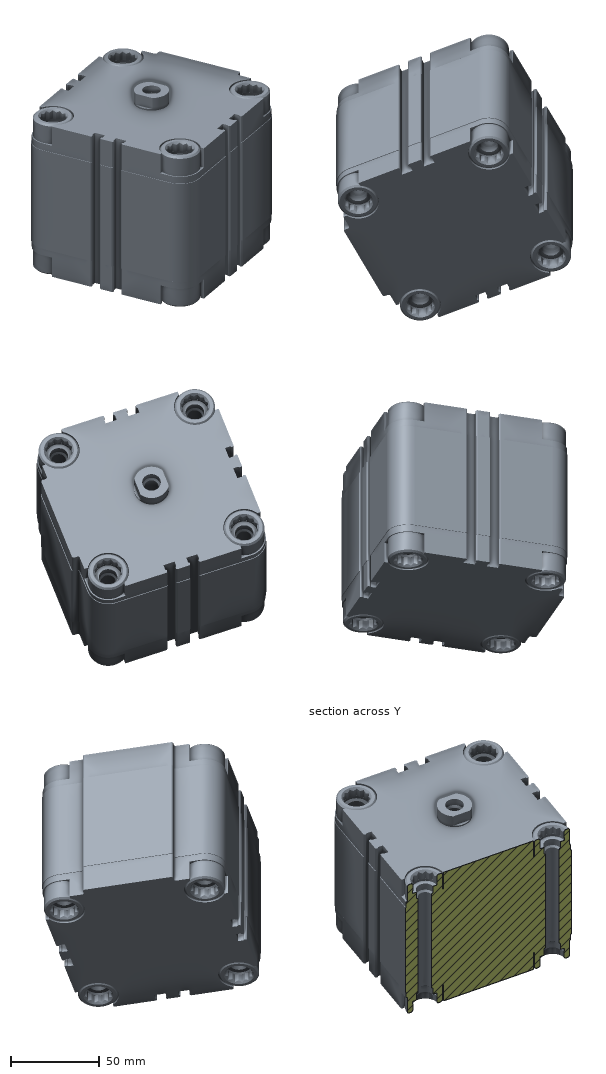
import cadquery as cq
import math

BODY_HEIGHT = 96.0
CAP_HEIGHT = 16.5
BODY_HALF = 53.5
CORNER_RADIUS = 12.4
PAD_HALF_WIDTH = 26.3
PAD_HEIGHT = 4.0
PAD_FILLET = 1.1
CAP_SETBACK = 0.3

SLOT_OFFSET = 6.9
SLOT_DEPTH = 5.4
SLOT_INNER_WIDTH = 6.7
SLOT_MOUTH_WIDTH = 5.3
SLOT_LIP = 1.8
SLOT_MOUTH_CHAMFER = 0.5
SLOT_SHOULDER = (SLOT_INNER_WIDTH - SLOT_MOUTH_WIDTH) / 2

SCREW_SPACING = 82.0
HEAD_DIAMETER = 23.0
HEAD_CHAMFER = 1.0
HEAD_HEIGHT = 12.2
HEAD_POCKET_DIAMETER = 23.5
NOTCH_REACH = 6.0
SOCKET_MOUTH_DIAMETER = 17.1
SOCKET_MOUTH_DEPTH = 1.7
SOCKET_TIP_DIAMETER = 16.0
SOCKET_TIPS = 12
SOCKET_STAR_DEPTH = 6.0
SOCKET_FLOOR_DIAMETER = 15.4
SOCKET_DEPTH = 7.7
SCREW_HOLE_DIAMETER = 8.5

ENTRY_DIAMETER = 10.5
ENTRY_DEPTH = 4.5

ROD_DIAMETER = 20.0
ROD_PROTRUSION = 8.0
ROD_FLATS_WIDTH = 17.0
ROD_FLATS_LENGTH = 7.0
ROD_HOLE_DIAMETER = 8.3
ROD_HOLE_DEPTH = 20.0
DRILL_POINT_HALF_ANGLE = 59.0
ROD_BOTTOM = CAP_HEIGHT
ROD_TOP = BODY_HEIGHT + ROD_PROTRUSION


def profile(height, setback):
    """Square with round corners and a raised pad on +Y, set in all round by the setback."""
    half = BODY_HALF - setback
    square = (
        cq.Workplane("XY")
        .rect(2 * half, 2 * half)
        .extrude(height)
        .edges("|Z")
        .fillet(CORNER_RADIUS - setback)
    )
    pad_top = half + PAD_HEIGHT
    side = PAD_HALF_WIDTH
    foot = side + PAD_FILLET
    crown = side - PAD_FILLET
    bend = PAD_FILLET * math.sqrt(0.5)
    pad = (
        cq.Workplane("XY")
        .moveTo(-foot, 0)
        .lineTo(-foot, half)
        .threePointArc((-foot + bend, half + PAD_FILLET - bend), (-side, half + PAD_FILLET))
        .lineTo(-side, pad_top - PAD_FILLET)
        .threePointArc((-crown - bend, pad_top - PAD_FILLET + bend), (-crown, pad_top))
        .lineTo(crown, pad_top)
        .threePointArc((crown + bend, pad_top - PAD_FILLET + bend), (side, pad_top - PAD_FILLET))
        .lineTo(side, half + PAD_FILLET)
        .threePointArc((foot - bend, half + PAD_FILLET - bend), (foot, half))
        .lineTo(foot, 0)
        .close()
        .extrude(height)
    )
    return square.union(pad)


def slot_pair(height, setback):
    """Cutter for the two slots on the -Y side of a profile with the same height and setback."""
    mouth = SLOT_MOUTH_WIDTH / 2
    inner = SLOT_INNER_WIDTH / 2
    half_outline = [
        (mouth + SLOT_MOUTH_CHAMFER, setback),
        (mouth, setback + SLOT_MOUTH_CHAMFER),
        (mouth, SLOT_LIP),
        (inner, SLOT_LIP + SLOT_SHOULDER),
        (inner, SLOT_DEPTH),
    ]
    outline = half_outline + [(-x, depth) for x, depth in reversed(half_outline)]
    slot = cq.Workplane("XY").polyline(outline).close().extrude(height)
    left = slot.translate((-SLOT_OFFSET, -BODY_HALF, 0))
    return left.union(slot.translate((SLOT_OFFSET, -BODY_HALF, 0)))


def slotted_section(height, setback):
    """Profile with a slot pair in its -X, -Y and +X sides."""
    section = profile(height, setback)
    slots = slot_pair(height, setback)
    for turn in (-90, 0, 90):
        section = section.cut(slots.rotate((0, 0, 0), (0, 0, 1), turn))
    return section


def at_height(z):
    """Horizontal work plane at the given height."""
    return cq.Workplane("XY").workplane(offset=z)


def head_pocket():
    """Corner notch and round pocket around one screw head, for the screw at (+X, +Y) of the top."""
    side = NOTCH_REACH + BODY_HALF
    notch = at_height(BODY_HEIGHT - HEAD_HEIGHT).rect(side, side, centered=False).extrude(HEAD_HEIGHT)
    notch = notch.translate((-NOTCH_REACH, -NOTCH_REACH, 0))
    pocket = at_height(BODY_HEIGHT - HEAD_HEIGHT).circle(HEAD_POCKET_DIAMETER / 2).extrude(HEAD_HEIGHT)
    return notch.union(pocket)


def screw_head():
    """Chamfered round head that fills most of its pocket."""
    return (
        at_height(BODY_HEIGHT - HEAD_HEIGHT)
        .circle(HEAD_DIAMETER / 2)
        .extrude(HEAD_HEIGHT)
        .faces(">Z")
        .chamfer(HEAD_CHAMFER)
    )


def cone_down(z, top_diameter, bottom_diameter, depth):
    """Cone on the Z axis, from its top at the given height downwards."""
    return cq.Workplane(
        cq.Solid.makeCone(
            top_diameter / 2, bottom_diameter / 2, depth, cq.Vector(0, 0, z), cq.Vector(0, 0, -1)
        )
    )


def hole_with_entry(z, diameter, depth):
    """Round hole downwards from the given height, with the wider entry at its top."""
    hole = at_height(z).circle(diameter / 2).extrude(-depth)
    entry = at_height(z).circle(ENTRY_DIAMETER / 2).extrude(-ENTRY_DEPTH)
    taper = cone_down(z - ENTRY_DEPTH, ENTRY_DIAMETER, diameter, (ENTRY_DIAMETER - diameter) / 2)
    return hole.union(entry).union(taper)


def screw_socket():
    """Twelve-point socket, its round floor and the hole down to mid-height."""
    tip = SOCKET_TIP_DIAMETER / 2
    valley = tip * math.cos(math.pi / 6) / math.cos(math.pi / SOCKET_TIPS)
    star_points = []
    for corner in range(2 * SOCKET_TIPS):
        radius = tip if corner % 2 == 0 else valley
        angle = corner * math.pi / SOCKET_TIPS
        star_points.append((radius * math.cos(angle), radius * math.sin(angle)))
    star = at_height(BODY_HEIGHT).polyline(star_points).close().extrude(-SOCKET_STAR_DEPTH)
    mouth = cone_down(BODY_HEIGHT, SOCKET_MOUTH_DIAMETER, 2 * valley, SOCKET_MOUTH_DEPTH)
    floor_height = BODY_HEIGHT - SOCKET_DEPTH
    floor = (
        at_height(floor_height)
        .circle(SOCKET_FLOOR_DIAMETER / 2)
        .extrude(SOCKET_DEPTH - SOCKET_STAR_DEPTH)
    )
    hole = hole_with_entry(floor_height, SCREW_HOLE_DIAMETER, floor_height - BODY_HEIGHT / 2)
    return star.union(mouth).union(floor).union(hole)


def at_every_corner(tool):
    """The eight copies of a tool made for the (+X, +Y) screw at the top, as one list."""
    copies = []
    below = tool.mirror("XY", (0, 0, BODY_HEIGHT / 2))
    for end in (tool, below):
        for turn in range(4):
            turned = end.rotate((0, 0, 0), (0, 0, 1), 90 * turn)
            angle = math.radians(45 + 90 * turn)
            reach = SCREW_SPACING * math.sqrt(0.5)
            copies.append(turned.translate((reach * math.cos(angle), reach * math.sin(angle), 0)))
    return copies


def make_housing():
    """Barrel, end caps and screws as one solid, with a seat for the piston rod."""
    cap = slotted_section(CAP_HEIGHT, CAP_SETBACK)
    barrel = slotted_section(BODY_HEIGHT - 2 * CAP_HEIGHT, 0).translate((0, 0, CAP_HEIGHT))
    body = barrel.union(cap).union(cap.translate((0, 0, BODY_HEIGHT - CAP_HEIGHT)))
    for pocket in at_every_corner(head_pocket()):
        body = body.cut(pocket)
    for head in at_every_corner(screw_head()):
        body = body.union(head)
    for socket in at_every_corner(screw_socket()):
        body = body.cut(socket)
    rod_seat = at_height(ROD_BOTTOM).circle(ROD_DIAMETER / 2).extrude(BODY_HEIGHT - ROD_BOTTOM)
    return body.cut(rod_seat)


def make_piston_rod():
    """Rod with two wrench flats and a counterbored blind hole in its upper end."""
    rod = at_height(ROD_BOTTOM).circle(ROD_DIAMETER / 2).extrude(ROD_TOP - ROD_BOTTOM)
    flats = (
        at_height(ROD_TOP - ROD_FLATS_LENGTH)
        .rect(ROD_DIAMETER, ROD_DIAMETER)
        .rect(ROD_DIAMETER, ROD_FLATS_WIDTH)
        .extrude(ROD_FLATS_LENGTH)
    )
    hole = hole_with_entry(ROD_TOP, ROD_HOLE_DIAMETER, ROD_HOLE_DEPTH)
    point_depth = ROD_HOLE_DIAMETER / 2 / math.tan(math.radians(DRILL_POINT_HALF_ANGLE))
    drill_point = cone_down(ROD_TOP - ROD_HOLE_DEPTH, ROD_HOLE_DIAMETER, 0, point_depth)
    return rod.cut(flats).cut(hole).cut(drill_point)


housing = make_housing()
piston_rod = make_piston_rod()
result = cq.Compound.makeCompound([housing.solids().val(), piston_rod.solids().val()])